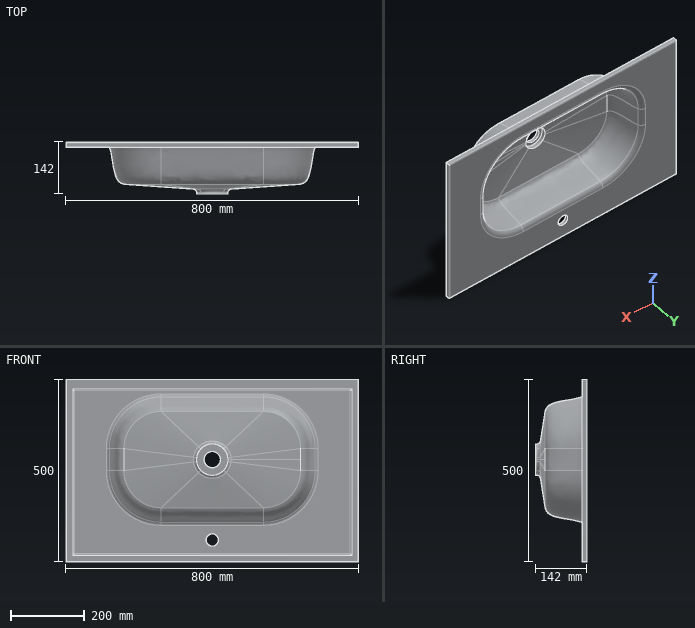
import cadquery as cq
import math

SLAB_WIDTH = 800.0
SLAB_HEIGHT = 500.0
SLAB_THICKNESS = 14.0
FACE_EDGE_FILLET = 2.0

RIM_SIDE = 18.0
RIM_TOP = 27.0
RIM_BOTTOM = 18.0
RECESS_DEPTH = 4.5
RECESS_FILLET = 4.4

WALL_THICKNESS = SLAB_THICKNESS - RECESS_DEPTH
BASIN_CENTER_Z = 30.0
BASIN_WIDTH = 580.0
BASIN_HEIGHT = 360.0
CORNER_RADIUS = 150.0
CORNER_X = BASIN_WIDTH / 2 - CORNER_RADIUS
CORNER_Z = BASIN_HEIGHT / 2 - CORNER_RADIUS

LIP_FILLET = 9.0
LIP_LEAN = 24.0
FOOT_DEPTH = 115.6
WALL_STATIONS = [
    (131.0, 69.0, 12.0),
    (121.3, 100.5, 28.0),
    (102.0, FOOT_DEPTH, 75.0),
]

CONE_DEPTH = 129.6
BASIN_DEPTH = 142.0
DRAIN_BOSS_RADIUS = 43.0
DRAIN_BOSS_FILLET = 9.5
DRAIN_HOLE_RADIUS = 22.0
TAP_HOLE_RADIUS = 16.5
TAP_HOLE_Z = -190.0

SELECTION_MARGIN = 1.0


def plane_at(depth, center_z=0.0):
    """Sketch plane at the given depth, facing -Y."""
    return cq.Workplane("XZ", origin=(0, -depth, center_z))


def cylinder(radius, from_depth, to_depth, center_z):
    """Cylinder along Y, centred in X, between two depths."""
    return plane_at(from_depth, center_z).circle(radius).extrude(to_depth - from_depth)


def slab():
    """Slab with rounded upper edges and a recessed underside."""
    body = plane_at(0).rect(SLAB_WIDTH, SLAB_HEIGHT).extrude(SLAB_THICKNESS)
    body = body.faces(">Y").edges().fillet(FACE_EDGE_FILLET)
    recess = (
        plane_at(WALL_THICKNESS, (RIM_BOTTOM - RIM_TOP) / 2)
        .rect(SLAB_WIDTH - 2 * RIM_SIDE, SLAB_HEIGHT - RIM_TOP - RIM_BOTTOM)
        .extrude(RECESS_DEPTH)
        .faces(">Y")
        .edges()
        .fillet(RECESS_FILLET)
    )
    return body.cut(recess)


def lip_point(radius, lean):
    """Point, as (distance, height), where a lip arc of the given radius has the given lean."""
    turn = math.radians(90 - lean)
    lip_center_depth = WALL_THICKNESS + LIP_FILLET
    return (CORNER_RADIUS - radius * math.sin(turn), radius * math.cos(turn) - lip_center_depth)


def shifted_station(station, offset):
    """Station moved square to the wall, toward the inside of the basin."""
    distance, depth, lean = station
    lean = math.radians(lean)
    return (distance - offset * math.cos(lean), offset * math.sin(lean) - depth)


def wall_direction(lean):
    """Direction down the wall, in (distance, height), where it has the given lean."""
    lean = math.radians(lean)
    return (-math.sin(lean), -math.cos(lean))


def wall_profile(plane, offset):
    """Half section of the basin above its floor edge, from a corner centre line outward."""
    lip_radius = LIP_FILLET + offset
    lip_start = lip_point(lip_radius, 90)
    lip_middle = lip_point(lip_radius, (90 + LIP_LEAN) / 2)
    lip_end = lip_point(lip_radius, LIP_LEAN)
    stations = [shifted_station(station, offset) for station in WALL_STATIONS]
    leans = [LIP_LEAN] + [lean for _, _, lean in WALL_STATIONS]
    return (
        cq.Workplane(plane)
        .moveTo(0, lip_start[1])
        .lineTo(*lip_start)
        .threePointArc(lip_middle, lip_end)
        .spline(stations, tangents=[wall_direction(lean) for lean in leans], includeCurrent=True)
        .lineTo(0, stations[-1][1])
        .close()
    )


def basin_walls(offset):
    """Solid basin above its floor edge: quarter turns at the corners, straight runs between."""
    top_depth = WALL_THICKNESS - offset
    foot_height = shifted_station(WALL_STATIONS[-1], offset)[1]
    walls = (
        plane_at(top_depth, BASIN_CENTER_Z)
        .rect(2 * CORNER_X, 2 * CORNER_Z)
        .extrude(-foot_height - top_depth)
    )
    sides = [
        ((-CORNER_X, -CORNER_Z), (0, 0, -1), 2 * CORNER_X),
        ((CORNER_X, -CORNER_Z), (1, 0, 0), 2 * CORNER_Z),
        ((CORNER_X, CORNER_Z), (0, 0, 1), 2 * CORNER_X),
        ((-CORNER_X, CORNER_Z), (-1, 0, 0), 2 * CORNER_Z),
    ]
    for (corner_x, corner_z), outward, run in sides:
        along_run = cq.Vector(outward).cross(cq.Vector(0, 1, 0))
        section = cq.Plane((corner_x, 0, BASIN_CENTER_Z + corner_z), xDir=outward, normal=along_run)
        walls = walls.union(wall_profile(section, offset).extrude(run))
        walls = walls.union(wall_profile(section, offset).revolve(90, (0, 0), (0, 1)))
    return walls


def racetrack(inset, depth):
    """Basin outline moved inward by the inset, around the same corner centres."""
    half_width = BASIN_WIDTH / 2 - inset
    half_height = BASIN_HEIGHT / 2 - inset
    diagonal = (CORNER_RADIUS - inset) * math.sqrt(0.5)
    mid_x = CORNER_X + diagonal
    mid_z = CORNER_Z + diagonal
    return (
        plane_at(depth, BASIN_CENTER_Z)
        .moveTo(-CORNER_X, half_height)
        .lineTo(CORNER_X, half_height)
        .threePointArc((mid_x, mid_z), (half_width, CORNER_Z))
        .lineTo(half_width, -CORNER_Z)
        .threePointArc((mid_x, -mid_z), (CORNER_X, -half_height))
        .lineTo(-CORNER_X, -half_height)
        .threePointArc((-mid_x, -mid_z), (-half_width, -CORNER_Z))
        .lineTo(-half_width, CORNER_Z)
        .threePointArc((-mid_x, mid_z), (-CORNER_X, half_height))
        .close()
    )


def basin_floor(offset):
    """Solid floor that slopes from the foot of the wall to a ring around the drain."""
    foot_distance, foot_height = shifted_station(WALL_STATIONS[-1], offset)
    outline = racetrack(CORNER_RADIUS - foot_distance, -foot_height)
    ring = plane_at(CONE_DEPTH - offset, BASIN_CENTER_Z).circle(DRAIN_BOSS_RADIUS - offset)
    return cq.Workplane(cq.Solid.makeLoft([outline.val(), ring.val()], True))


def basin_outside():
    """Outer shape of the basin with the drain boss blended into its floor."""
    boss = cylinder(DRAIN_BOSS_RADIUS, FOOT_DEPTH, BASIN_DEPTH, BASIN_CENTER_Z)
    floor = basin_floor(0).union(boss)
    reach = DRAIN_BOSS_RADIUS + SELECTION_MARGIN
    boss_seam = cq.selectors.BoxSelector(
        (-reach, SELECTION_MARGIN - BASIN_DEPTH, BASIN_CENTER_Z - reach),
        (reach, SELECTION_MARGIN - CONE_DEPTH, BASIN_CENTER_Z + reach),
        boundingbox=True,
    )
    floor = floor.edges(boss_seam).fillet(DRAIN_BOSS_FILLET)
    return basin_walls(0).union(floor)


def basin_inside():
    """Hollow of the basin, one wall thickness inside its outer shape."""
    drain_recess = cylinder(
        DRAIN_BOSS_RADIUS - WALL_THICKNESS,
        FOOT_DEPTH - WALL_THICKNESS,
        BASIN_DEPTH - WALL_THICKNESS,
        BASIN_CENTER_Z,
    )
    return basin_walls(WALL_THICKNESS).union(basin_floor(WALL_THICKNESS)).union(drain_recess)


drain_hole = cylinder(DRAIN_HOLE_RADIUS, 0, BASIN_DEPTH, BASIN_CENTER_Z)
tap_hole = cylinder(TAP_HOLE_RADIUS, 0, SLAB_THICKNESS, TAP_HOLE_Z)

result = slab().union(basin_outside()).cut(basin_inside()).cut(drain_hole).cut(tap_hole)